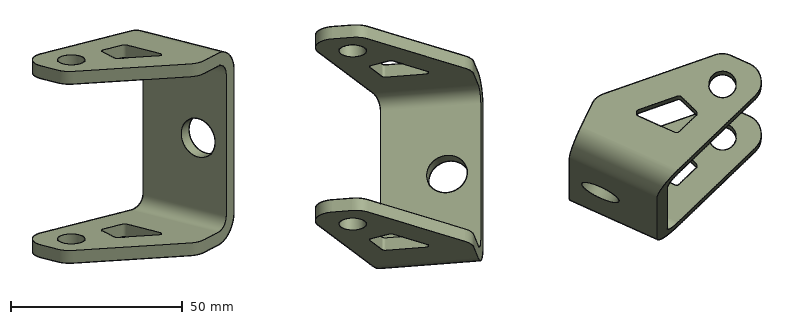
import cadquery as cq
import math

height = 60.0
depth = 46.0
thickness = 4.0
bend_outer_radius = 8.0
bend_inner_radius = bend_outer_radius - thickness

slant_angle = 20.0
front_left_x = -45.0
front_right_x = -28.0
corner_radius = 6.0
right_corner_y = -(depth + front_right_x)
back_left_x = front_left_x + depth * math.tan(math.radians(slant_angle))

arm_hole_diameter = 8.0
arm_hole_x = -32.0
arm_hole_y = -37.0
web_hole_diameter = 12.0
web_hole_x = -10.0

window_back_y = -18.0
window_back_left_x = -26.35
window_back_right_x = -11.35
window_left_length = 8.65
window_corner_radius = 1.0


def bent_strip():
    """C-shaped strip, open to the front, spanning the full outline width."""
    width = -front_left_x
    outer = (
        cq.Workplane("XY")
        .box(width, depth, height, centered=(False, False, True))
        .translate((front_left_x, -depth, 0))
        .edges("|X and >Y")
        .fillet(bend_outer_radius)
    )
    inner = (
        cq.Workplane("XY")
        .box(width, depth, height - 2 * thickness, centered=(False, False, True))
        .translate((front_left_x, -depth - thickness, 0))
        .edges("|X and >Y")
        .fillet(bend_inner_radius)
    )
    return outer.cut(inner)


def outline_prism():
    """Rounded arm outline extruded through the full height."""
    corners = [
        (0, 0),
        (back_left_x, 0),
        (front_left_x, -depth),
        (front_right_x, -depth),
        (0, right_corner_y),
    ]
    prism = cq.Workplane("XY").polyline(corners).close().extrude(height / 2, both=True)
    return prism.edges("|Z and (not >Y)").fillet(corner_radius)


def window_prism():
    """Rounded four-sided window through both arms."""
    slant = math.radians(slant_angle)
    left_x = window_back_left_x - window_left_length * math.sin(slant)
    left_y = window_back_y - window_left_length * math.cos(slant)
    side_offset = window_back_right_x - window_back_y
    front_length = (left_y - left_x + side_offset) / (math.cos(slant) + math.sin(slant))
    front_x = left_x + front_length * math.cos(slant)
    front_y = left_y - front_length * math.sin(slant)
    corners = [
        (window_back_left_x, window_back_y),
        (window_back_right_x, window_back_y),
        (front_x, front_y),
        (left_x, left_y),
    ]
    prism = cq.Workplane("XY").polyline(corners).close().extrude(height / 2, both=True)
    return prism.edges("|Z").fillet(window_corner_radius)


def arm_holes():
    """Pivot hole through both arms."""
    hole = cq.Workplane("XY").center(arm_hole_x, arm_hole_y).circle(arm_hole_diameter / 2)
    return hole.extrude(height / 2, both=True)


def web_hole():
    """Hole through the middle of the back web."""
    hole = cq.Workplane("XZ").center(web_hole_x, 0).circle(web_hole_diameter / 2)
    return hole.extrude(bend_outer_radius)


bracket = bent_strip().intersect(outline_prism())
result = bracket.cut(window_prism()).cut(arm_holes()).cut(web_hole())